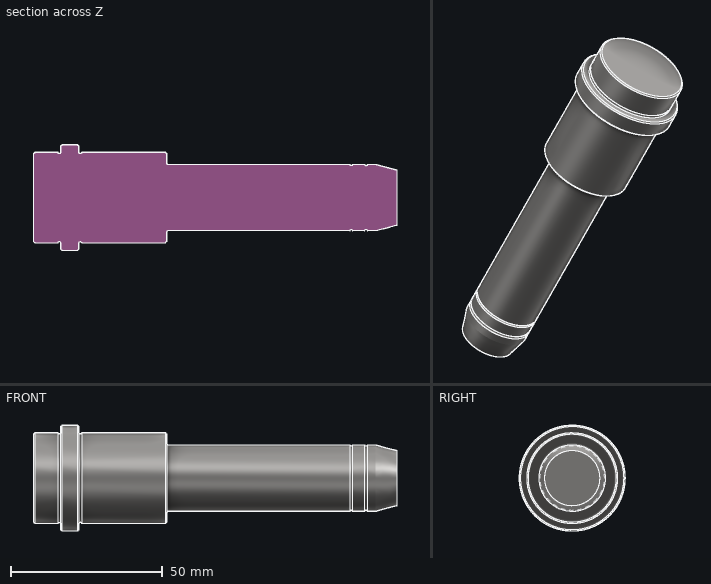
import cadquery as cq
import math

body_diameter = 30.0
flange_diameter = 35.0
shaft_diameter = 22.0

flange_start = 9.0
flange_end = 15.0
body_end = 44.0
cone_start = 113.0
total_length = 120.0

edge_chamfer = 0.5
cone_angle = 15.0
root_fillet = 0.5

groove_depth = 0.4
undercut_width = 1.0
rear_ring_start = 104.5
rear_ring_width = 0.7
tip_ring_start = 109.3
tip_ring_width = 1.0


def cylinder(start, end, diameter):
    """Solid cylinder on the X axis between two stations."""
    return cq.Workplane("YZ").workplane(offset=start).circle(diameter / 2).extrude(end - start)


def cut_groove(solid, start, width, diameter):
    """Cut a round-bottomed groove into the surface of the given diameter."""
    surface = diameter / 2
    groove = (
        cq.Workplane("XY")
        .moveTo(start, surface + groove_depth)
        .lineTo(start, surface)
        .threePointArc((start + width / 2, surface - groove_depth), (start + width, surface))
        .lineTo(start + width, surface + groove_depth)
        .close()
        .revolve(360, (0, 0, 0), (1, 0, 0))
    )
    return solid.cut(groove)


body = cylinder(0, body_end, body_diameter).faces("<X or >X").chamfer(edge_chamfer)
for undercut_start in (flange_start - undercut_width, flange_end):
    body = cut_groove(body, undercut_start, undercut_width, body_diameter)

flange = cylinder(flange_start, flange_end, flange_diameter).faces("<X or >X").chamfer(edge_chamfer)

cone_length = total_length - cone_start
cone_drop = cone_length * math.tan(math.radians(cone_angle))
shaft = cylinder(body_end, total_length, shaft_diameter)
shaft = shaft.faces(">X").chamfer(cone_length, cone_drop)
shaft = cut_groove(shaft, rear_ring_start, rear_ring_width, shaft_diameter)
shaft = cut_groove(shaft, tip_ring_start, tip_ring_width, shaft_diameter)

result = body.union(flange).union(shaft)
half_box = root_fillet / 2
body_end_box = cq.selectors.BoxSelector(
    (body_end - half_box, -half_box, -half_box),
    (body_end + half_box, half_box, half_box),
)
shaft_root = result.edges(body_end_box).edges(cq.selectors.RadiusNthSelector(0))
result = shaft_root.fillet(root_fillet)